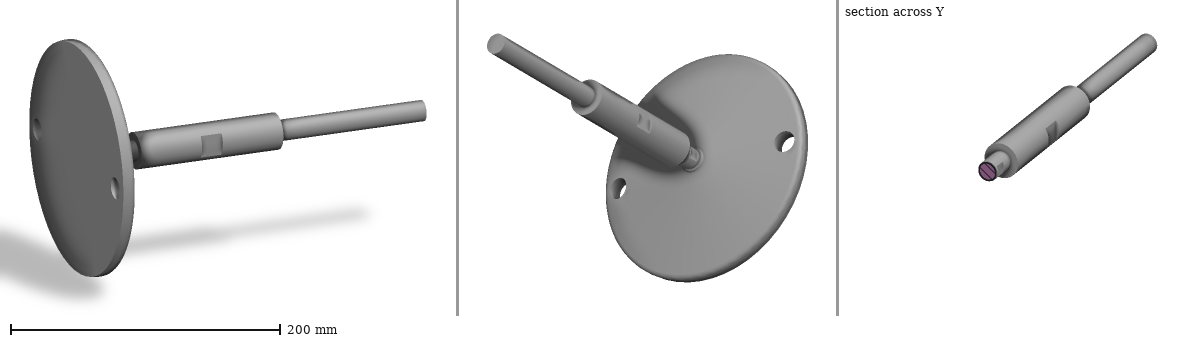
import cadquery as cq
import math

TOTAL_LENGTH = 280.0

BASE_RADIUS = 178.0 / 2
BASE_UNDERSIDE_RADIUS = 88.5
RIM_TAPER_HEIGHT = 4.8
SHOULDER_HEIGHT = 9.5
CONE_TOP_HEIGHT = 22.7
RIM_FILLET = 3.5
BOSS_FOOT_RADIUS = 9.8
BOSS_TOP_RADIUS = 9.0
BOSS_TOP_HEIGHT = 24.0

BOLT_HOLE_DIAMETER = 16.5
BOLT_HOLE_OFFSET = 73.0
CONE_ANGLE = math.atan2(CONE_TOP_HEIGHT - SHOULDER_HEIGHT, BASE_RADIUS - BOSS_FOOT_RADIUS)

SPINDLE_DIAMETER = 16.0
NECK_DIAMETER = 14.5
NECK_TOP_HEIGHT = 25.8
SPINDLE_FLAT_WIDTH = 13.0
SPINDLE_FLAT_START = 27.5
SPINDLE_FLAT_LENGTH = 9.2

SLEEVE_DIAMETER = 28.0
SLEEVE_START = 46.8
SLEEVE_LENGTH = 114.8
SLEEVE_FLAT_WIDTH = 22.5
SLEEVE_FLAT_LENGTH = 16.8
SLEEVE_FLAT_START = SLEEVE_START + (SLEEVE_LENGTH - SLEEVE_FLAT_LENGTH) / 2


def cylinder(diameter, start, end):
    """Solid cylinder on the Y axis between two heights."""
    base_plane = cq.Workplane(cq.Plane((0, start, 0), xDir=(1, 0, 0), normal=(0, 1, 0)))
    return base_plane.circle(diameter / 2).extrude(end - start)


def cut_wrench_flats(body, diameter, across_flats, start, length):
    """Cut two opposite flats, facing -X and +X, into a round body."""
    depth = (diameter - across_flats) / 2
    for side in (-1, 1):
        cutter = cq.Workplane("XY").box(2 * depth, length, diameter)
        body = body.cut(cutter.translate((side * (across_flats / 2 + depth), start + length / 2, 0)))
    return body


def make_base():
    """Shallow cone with a tapered rim, a slightly flared central boss and two tilted bolt holes."""
    base = (
        cq.Workplane("XY")
        .moveTo(0, 0)
        .lineTo(BASE_UNDERSIDE_RADIUS, 0)
        .lineTo(BASE_RADIUS, RIM_TAPER_HEIGHT)
        .lineTo(BASE_RADIUS, SHOULDER_HEIGHT)
        .lineTo(BOSS_FOOT_RADIUS, CONE_TOP_HEIGHT)
        .lineTo(BOSS_TOP_RADIUS, BOSS_TOP_HEIGHT)
        .lineTo(0, BOSS_TOP_HEIGHT)
        .close()
        .revolve(360, (0, 0, 0), (0, 1, 0))
    )
    shoulder_edge = cq.selectors.BoxSelector(
        (-BASE_RADIUS, SHOULDER_HEIGHT - RIM_FILLET / 2, -BASE_RADIUS),
        (BASE_RADIUS, SHOULDER_HEIGHT + RIM_FILLET / 2, BASE_RADIUS),
    )
    base = base.edges(shoulder_edge).fillet(RIM_FILLET)

    for side in (-1, 1):
        axis = cq.Vector(side * math.sin(CONE_ANGLE), math.cos(CONE_ANGLE), 0)
        center = cq.Vector(side * BOLT_HOLE_OFFSET, 0, 0)
        drill = cq.Solid.makeCylinder(
            BOLT_HOLE_DIAMETER / 2, 2 * CONE_TOP_HEIGHT, center - axis * CONE_TOP_HEIGHT, axis
        )
        base = base.cut(cq.Workplane(drill))
    return base


def make_spindle():
    """Plain rod with a reduced neck resting on the boss and wrench flats just above it."""
    neck = cylinder(NECK_DIAMETER, BOSS_TOP_HEIGHT, NECK_TOP_HEIGHT)
    rod = cylinder(SPINDLE_DIAMETER, NECK_TOP_HEIGHT, TOTAL_LENGTH)
    return cut_wrench_flats(
        neck.union(rod), SPINDLE_DIAMETER, SPINDLE_FLAT_WIDTH, SPINDLE_FLAT_START, SPINDLE_FLAT_LENGTH
    )


def make_sleeve():
    """Tube fitted on the spindle, with wrench flats at mid length."""
    sleeve_end = SLEEVE_START + SLEEVE_LENGTH
    outside = cylinder(SLEEVE_DIAMETER, SLEEVE_START, sleeve_end)
    bore = cylinder(SPINDLE_DIAMETER, SLEEVE_START, sleeve_end)
    return cut_wrench_flats(
        outside.cut(bore), SLEEVE_DIAMETER, SLEEVE_FLAT_WIDTH, SLEEVE_FLAT_START, SLEEVE_FLAT_LENGTH
    )


base = make_base()
spindle = make_spindle()
sleeve = make_sleeve()

result = cq.Compound.makeCompound([base.val(), spindle.val(), sleeve.val()])